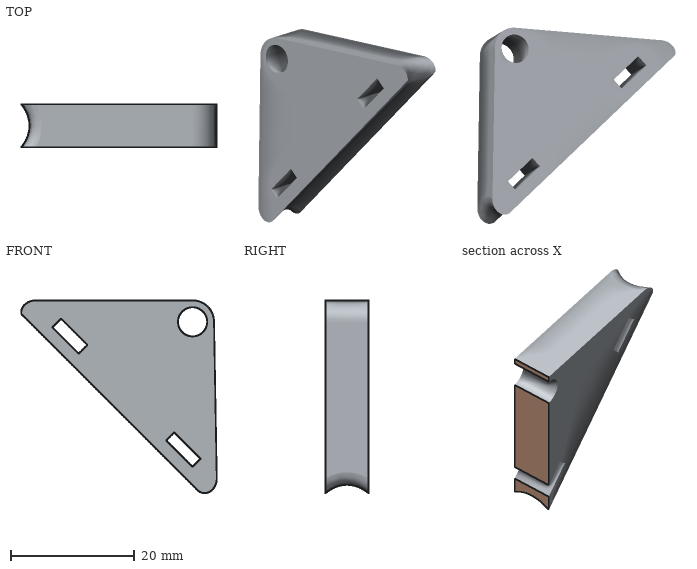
import cadquery as cq
import math

thickness = 7.0
pivot_hole_diameter = 4.7
corner_radius = 3.5
side_tilt = 1.0

seat_angle = 45.0
seat_distance = 18.75
groove_radius = 7.5
groove_tilt = 0.48
groove_low_end = 25.0
tip_radius = 2.0

slot_length = 6.0
slot_distance = 15.73
upper_slot_position = -12.43
lower_slot_position = 13.6
upper_slot_width = 2.0
lower_slot_width = 1.8

tool_length = 100.0
blank_allowance = 1.0


def seat_point(along, distance):
    """X, Z of a point given along the seat (downward) and outward from the pivot axis."""
    angle = math.radians(seat_angle)
    x = along * math.cos(angle) - distance * math.sin(angle)
    z = -along * math.sin(angle) - distance * math.cos(angle)
    return x, z


def seat_plane(along, distance, tilt=0.0):
    """Plane across the seat: normal down the seat, tilted inward by tilt, and local Y outward."""
    angle = math.radians(seat_angle - tilt)
    x, z = seat_point(along, distance)
    return cq.Plane(origin=(x, 0, z), xDir=(0, -1, 0), normal=(math.cos(angle), 0, -math.sin(angle)))


def plate_blank():
    """Triangular plate with stock left on the long side and a quarter-round upper right corner."""
    lean = math.tan(math.radians(side_tilt))
    radius = corner_radius
    angle = math.radians(seat_angle)
    slope = math.tan(angle)
    long_side_x = -(seat_distance + blank_allowance) / math.sin(angle)
    side_length = (radius - long_side_x) * slope / (1 - lean * slope)
    left_x = long_side_x - radius / slope
    low_x = radius + side_length * lean
    arc_middle = radius * math.sqrt(0.5)
    outline = (
        cq.Workplane("XZ")
        .moveTo(left_x, radius)
        .lineTo(0, radius)
        .threePointArc((arc_middle, arc_middle), (radius, 0))
        .lineTo(low_x, -side_length)
        .close()
    )
    return outline.extrude(thickness / 2, both=True)


def groove_cutter():
    """Cylinder along the seat, its axis slightly tilted to the seat plane."""
    axis_offset = math.sqrt(groove_radius**2 - (thickness / 2) ** 2)
    plane = seat_plane(groove_low_end, seat_distance, groove_tilt)
    profile = cq.Workplane(plane).center(0, axis_offset).circle(groove_radius)
    return profile.extrude(tool_length / 2, both=True)


def fillet_tips(body):
    """Round the two curved edges where the groove runs out at the ends of the seat."""
    return body.edges("%ELLIPSE").fillet(tip_radius)


def seat_trim():
    """Stock outside the flat seat plane."""
    size = tool_length
    profile = cq.Workplane(seat_plane(0, seat_distance)).center(0, size / 2).rect(size, size)
    return profile.extrude(size / 2, both=True)


def slot_cutter(position, width):
    """Rectangular through slot at a position along the seat."""
    x, z = seat_point(position, slot_distance)
    slot = cq.Workplane("XZ", origin=(x, 0, z)).transformed(rotate=(0, 0, -seat_angle))
    return slot.rect(slot_length, width).extrude(thickness, both=True)


def pivot_hole_cutter():
    """Round through hole on the Y axis."""
    return cq.Workplane("XZ").circle(pivot_hole_diameter / 2).extrude(thickness, both=True)


result = fillet_tips(plate_blank().cut(groove_cutter()))
result = result.cut(seat_trim()).cut(pivot_hole_cutter())
for slot_position, slot_width in (
    (upper_slot_position, upper_slot_width),
    (lower_slot_position, lower_slot_width),
):
    result = result.cut(slot_cutter(slot_position, slot_width))